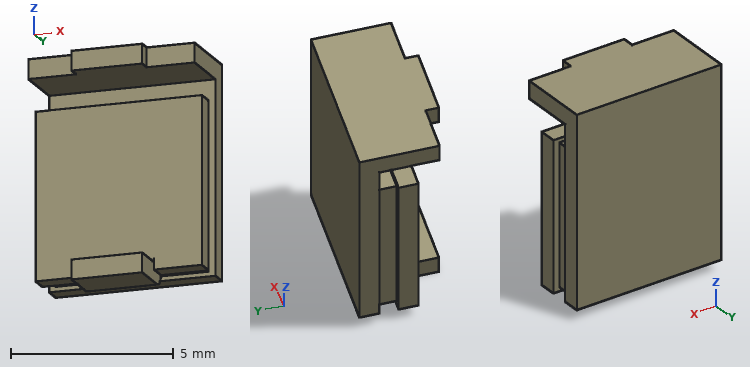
import cadquery as cq

width = 5.44
depth = 3.0
height = 7.36

sheet = 0.64
tab_width = 2.31
tab_length = 0.43
bend_outer_radius = 0.4
bend_inner_radius = 0.11

plate_height = 5.46
core_width = 4.99
core_height = 5.15
core_thickness = 0.62

plate_bottom = bend_outer_radius
plate_back = -(sheet + core_thickness)
plate_front = plate_back - sheet
core_bottom = plate_bottom + (plate_height - core_height) / 2
top_front = -(depth - tab_length)


def centred_box(size_x, y_front, y_back, z_bottom, z_top):
    """Box centred on X between the given Y and Z limits."""
    return cq.Workplane("XY").box(
        size_x, y_back - y_front, z_top - z_bottom, centered=(True, False, False)
    ).translate((0, y_front, z_bottom))


def back_bracket():
    """L-shaped bracket with a narrow tab on its top flange."""
    wall = centred_box(width, -sheet, 0, plate_bottom, height)
    flange = centred_box(width, top_front, 0, height - sheet, height)
    tab = centred_box(tab_width, -depth, top_front, height - sheet, height)
    return wall.union(flange).union(tab)


def lower_tab():
    """Foot bent forward from the bottom edge of the front plate."""
    profile = (
        cq.Workplane("YZ", origin=(-tab_width / 2, 0, 0))
        .moveTo(plate_back, bend_outer_radius)
        .radiusArc((plate_back - bend_outer_radius, 0), bend_outer_radius)
        .lineTo(-depth, 0)
        .lineTo(-depth, sheet)
        .lineTo(plate_front - bend_inner_radius, sheet)
        .radiusArc((plate_front, sheet + bend_inner_radius), -bend_inner_radius)
        .lineTo(plate_back, sheet + bend_inner_radius)
        .close()
    )
    return profile.extrude(tab_width)


core = centred_box(core_width, plate_back, -sheet, core_bottom, core_bottom + core_height)
front_plate = centred_box(width, plate_front, plate_back, plate_bottom, plate_bottom + plate_height)

result = back_bracket().union(core).union(front_plate).union(lower_tab())